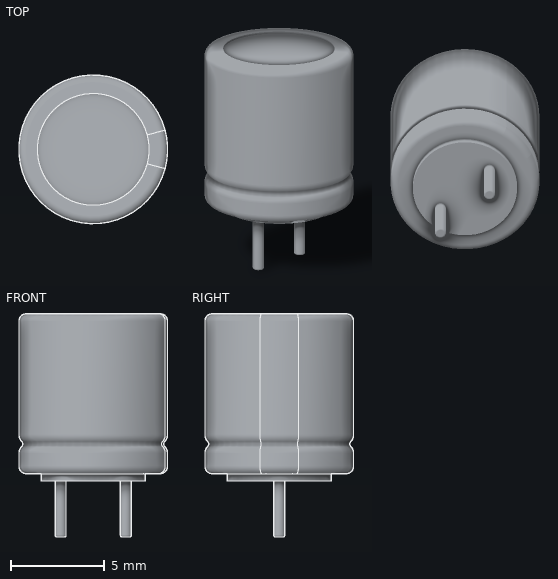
import cadquery as cq
import math


case_diameter = 8.0
case_top = 9.0
standoff = 0.4
edge_radius = 0.4
sleeve_thickness = 0.1
window_diameter = 6.0

groove_height = 2.0
groove_radius = 0.2
groove_lip_radius = 0.5

stripe_angle = 30.0

seal_diameter = 5.6
lead_diameter = 0.6
lead_pitch = 3.5
lead_length = 3.0
lead_tip_radius = 0.1


def case_solid(inset):
    """Grooved round case whose whole surface lies `inset` inside the sleeve's outer surface."""
    radius = case_diameter / 2 - inset
    bottom = standoff + inset
    top = case_top - inset
    rim = edge_radius - inset
    lip = groove_lip_radius - inset
    hollow = groove_radius + inset

    groove_center = case_diameter / 2
    lip_center = radius - lip
    center_distance = lip + hollow
    run = groove_center - lip_center
    rise = math.sqrt(center_distance**2 - run**2)
    joint_radius = groove_center - hollow * run / center_distance
    joint_rise = hollow * rise / center_distance
    lip_mid_angle = math.atan2(rise, run) / 2
    lip_mid_radius = lip_center + lip * math.cos(lip_mid_angle)
    lip_mid_rise = rise - lip * math.sin(lip_mid_angle)

    rim_mid = rim * (1 - math.sqrt(0.5))

    profile = (
        cq.Workplane("XZ")
        .moveTo(0, bottom)
        .lineTo(radius - rim, bottom)
        .threePointArc((radius - rim_mid, bottom + rim_mid), (radius, bottom + rim))
        .lineTo(radius, groove_height - rise)
        .threePointArc(
            (lip_mid_radius, groove_height - lip_mid_rise),
            (joint_radius, groove_height - joint_rise),
        )
        .threePointArc(
            (groove_center - hollow, groove_height),
            (joint_radius, groove_height + joint_rise),
        )
        .threePointArc(
            (lip_mid_radius, groove_height + lip_mid_rise),
            (radius, groove_height + rise),
        )
        .lineTo(radius, top - rim)
        .threePointArc((radius - rim_mid, top - rim_mid), (radius - rim, top))
        .lineTo(0, top)
        .close()
    )
    return profile.revolve(360, (0, 0, 0), (0, 1, 0))


def cylinder(diameter, bottom, top):
    return cq.Workplane("XY").workplane(offset=bottom).circle(diameter / 2).extrude(top - bottom)


def stripe_wedge():
    """Wedge about +X that reaches past the case on every side."""
    reach = case_diameter
    half_width = reach * math.tan(math.radians(stripe_angle / 2))
    return (
        cq.Workplane("XY")
        .polyline([(0, 0), (reach, -half_width), (reach, half_width)])
        .close()
        .extrude(case_top)
    )


def make_lead(x):
    return (
        cylinder(lead_diameter, -lead_length, 0)
        .faces("<Z")
        .edges()
        .fillet(lead_tip_radius)
        .translate((x, 0, 0))
    )


can = case_solid(sleeve_thickness)
can_bottom = standoff + sleeve_thickness

seal = cylinder(seal_diameter, 0, can_bottom)

wrap = (
    case_solid(0)
    .cut(can)
    .cut(cylinder(window_diameter, case_top - sleeve_thickness, case_top))
    .cut(seal)
)
sleeve = wrap.cut(stripe_wedge())
stripe = wrap.intersect(stripe_wedge())

leads = [make_lead(side * lead_pitch / 2) for side in (-1, 1)]

result = cq.Compound.makeCompound(
    [
        can.val(),
        seal.val(),
        sleeve.solids().val(),
        stripe.solids().val(),
        *[lead.solids().val() for lead in leads],
    ]
)